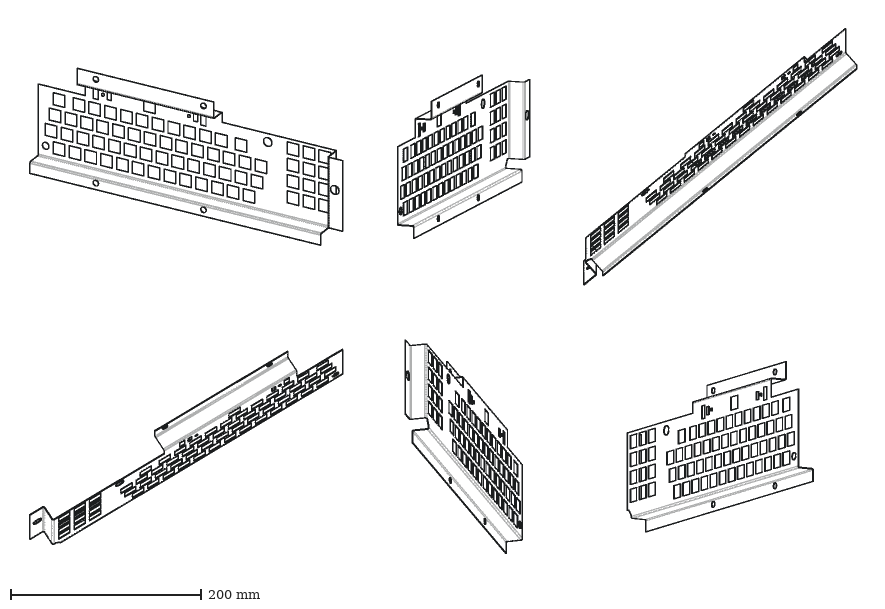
import cadquery as cq
import math

length = 377.3
depth = 19.0
height = 136.5

sheet = 1.0
inner_bend_radius = 1.0
outer_bend_radius = inner_bend_radius + sheet

left_edge_top = 97.0
right_edge_top = 105.3
tab_left = 57.0
tab_right = 222.0
lower_flange_right = 351.0
side_flange_bottom = 22.5
relief_corner_x = 355.8
relief_corner_z = 16.2

lower_fold_z = 13.0
upper_fold_z = 117.7
side_fold_x = 360.3

key_opening = 14.0
ten_key_span = 191.0
key_pitch = ten_key_span / 10
key_start_x = 20.5
top_key_row_z = 84.0
quarter_key = key_pitch / 4
edge_key_gap = 5 * quarter_key
top_row_stagger = 6 * quarter_key
top_row_keys = 10
middle_row_keys = 14
bottom_row_keys = 13
keypad_left_x = 307.5
keypad_top_z = 94.5
keypad_columns = 3
keypad_rows = 4

wide_key_x = 134.5
wide_key_z = 103.0
stabiliser_slot_offset = 65.0
stabiliser_slot_width = 6.5
clip_slot_xs = (85.5, 189.8)
clip_slot_width = 5.0
clip_slot_height = 8.5
wire_hole_xs = (78.0, 182.0)
wire_hole_diameter = 3.5

screw_diameter = 6.5
screw_xs = (79.5, 209.5)
upper_screw_z = 129.0
lower_screw_z = 7.5
post_diameter = 10.0
deck_post_x = 277.0
deck_post_z = 95.5
side_post_x = 368.0
side_post_z = 68.5
locating_diameter = 8.0
locating_x = 9.0
locating_z = 26.8

deck_bottom = lower_fold_z + outer_bend_radius
deck_tab_top = upper_fold_z - outer_bend_radius
deck_right = side_fold_x - outer_bend_radius


def cut_rectangles(part, centres, width, tall):
    """Cut rectangles centred on the (x, z) centres right through along Y."""
    cutters = cq.Workplane("XZ").pushPoints(centres).rect(width, tall).extrude(-depth)
    return part.cut(cutters)


def cut_circles(part, centres, diameter):
    """Cut round holes centred on the (x, z) centres right through along Y."""
    cutters = cq.Workplane("XZ").pushPoints(centres).circle(diameter / 2).extrude(-depth)
    return part.cut(cutters)


def make_deck():
    """Flat keyboard deck, from bend to bend."""
    outline = [
        (0, deck_bottom),
        (lower_flange_right, deck_bottom),
        (lower_flange_right, relief_corner_z),
        (relief_corner_x, side_flange_bottom),
        (deck_right, side_flange_bottom),
        (deck_right, right_edge_top),
        (tab_right, right_edge_top),
        (tab_right, deck_tab_top),
        (tab_left, deck_tab_top),
        (tab_left, left_edge_top),
        (0, left_edge_top),
    ]
    return (
        cq.Workplane("XZ", origin=(0, depth, 0))
        .polyline(outline)
        .close()
        .extrude(sheet)
    )


def make_folded_flange(origin, outward, reach, width):
    """Wall running forward from the deck, then a flange turned outward.

    In the profile, the first axis points outward from the outer face of the wall
    and the second one along Y. The fold runs for width from origin, along the
    cross product of outward and Y; reach is how far the flange stands out.
    """
    out_x, _, out_z = outward
    profile_plane = cq.Plane(origin=origin, xDir=outward, normal=(-out_z, 0, out_x))
    deck_front = depth - sheet
    diagonal = math.sqrt(0.5)
    inner_mid = inner_bend_radius * (1 - diagonal)
    outer_mid = outer_bend_radius * (1 - diagonal)
    return (
        cq.Workplane(profile_plane)
        .moveTo(-outer_bend_radius, depth)
        .threePointArc((-outer_mid, depth - outer_mid), (0, depth - outer_bend_radius))
        .lineTo(0, outer_bend_radius)
        .threePointArc((inner_mid, sheet + inner_mid), (inner_bend_radius, sheet))
        .lineTo(reach, sheet)
        .lineTo(reach, 0)
        .lineTo(inner_bend_radius, 0)
        .threePointArc((outer_mid - sheet, outer_mid), (-sheet, outer_bend_radius))
        .lineTo(-sheet, depth - outer_bend_radius)
        .threePointArc((-sheet - inner_mid, deck_front - inner_mid), (-outer_bend_radius, deck_front))
        .close()
        .extrude(width)
    )


def key_row_centres():
    """Centres of the four staggered key rows, listed from the top row down.

    The top row has one more opening at either end, set off by a wider gap.
    """
    rows = (
        (top_row_stagger, top_row_keys),
        (0, middle_row_keys),
        (-quarter_key, middle_row_keys),
        (quarter_key, bottom_row_keys),
    )
    top_row_left = key_start_x + top_row_stagger
    top_row_right = top_row_left + (top_row_keys - 1) * key_pitch
    centres = [
        (top_row_left - edge_key_gap, top_key_row_z),
        (top_row_right + edge_key_gap, top_key_row_z),
    ]
    for row, (stagger, count) in enumerate(rows):
        z = top_key_row_z - row * key_pitch
        for column in range(count):
            centres.append((key_start_x + stagger + column * key_pitch, z))
    return centres


def keypad_centres():
    """Centres of the rectangular keypad grid on the right."""
    return [
        (keypad_left_x + column * key_pitch, keypad_top_z - row * key_pitch)
        for column in range(keypad_columns)
        for row in range(keypad_rows)
    ]


def cut_stabiliser(part):
    """Cut a tall slot, a clip slot and a wire hole on either side of the wide key."""
    slot_centres = [
        (wide_key_x + side * stabiliser_slot_offset, wide_key_z)
        for side in (-1, 1)
    ]
    clip_centres = [(x, wide_key_z) for x in clip_slot_xs]
    wire_centres = [(x, wide_key_z) for x in wire_hole_xs]
    part = cut_rectangles(part, slot_centres, stabiliser_slot_width, key_opening)
    part = cut_rectangles(part, clip_centres, clip_slot_width, clip_slot_height)
    return cut_circles(part, wire_centres, wire_hole_diameter)


def cut_mounting_holes(part):
    """Cut the round holes in the deck and in the three flanges."""
    screw_centres = [(x, z) for x in screw_xs for z in (upper_screw_z, lower_screw_z)]
    post_centres = [(deck_post_x, deck_post_z), (side_post_x, side_post_z)]
    part = cut_circles(part, screw_centres, screw_diameter)
    part = cut_circles(part, post_centres, post_diameter)
    return cut_circles(part, [(locating_x, locating_z)], locating_diameter)


upper_flange = make_folded_flange(
    origin=(tab_right, 0, upper_fold_z),
    outward=(0, 0, 1),
    reach=height - upper_fold_z,
    width=tab_right - tab_left,
)
lower_flange = make_folded_flange(
    origin=(0, 0, lower_fold_z),
    outward=(0, 0, -1),
    reach=lower_fold_z,
    width=lower_flange_right,
)
side_flange = make_folded_flange(
    origin=(side_fold_x, 0, side_flange_bottom),
    outward=(1, 0, 0),
    reach=length - side_fold_x,
    width=right_edge_top - side_flange_bottom,
)

key_centres = key_row_centres() + keypad_centres() + [(wide_key_x, wide_key_z)]

result = make_deck().union(upper_flange).union(lower_flange).union(side_flange)
result = cut_rectangles(result, key_centres, key_opening, key_opening)
result = cut_stabiliser(result)
result = cut_mounting_holes(result)